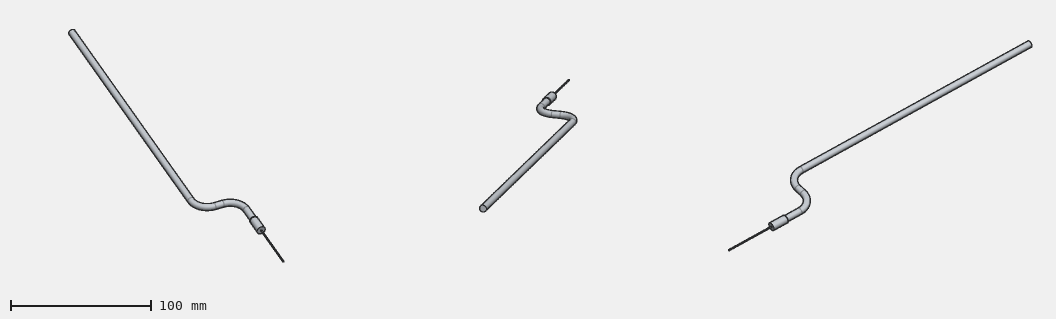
import cadquery as cq

rod_diameter = 5.207
lead_length = 204.62
bend_radius = 12.7
link_length = 6.35
tail_length = 12.7

sleeve_diameter = 6.35
sleeve_length = 12.7

wire_diameter = 1.0
wire_length = 38.1

link_x = lead_length + bend_radius
link_end_y = bend_radius + link_length
tail_y = link_end_y + bend_radius
tail_start_x = link_x + bend_radius
tail_end_x = tail_start_x + tail_length
sleeve_end_x = tail_end_x + sleeve_length


def make_rod():
    """Round rod swept along its S-bent centreline."""
    centreline = (
        cq.Workplane("XY")
        .lineTo(lead_length, 0)
        .radiusArc((link_x, bend_radius), -bend_radius)
        .lineTo(link_x, link_end_y)
        .radiusArc((tail_start_x, tail_y), bend_radius)
        .lineTo(tail_end_x, tail_y)
    )
    return cq.Workplane("YZ").circle(rod_diameter / 2).sweep(centreline)


def make_tail_cylinder(start_x, diameter, length):
    """Cylinder in line with the tail, running from start_x towards +X."""
    return (
        cq.Workplane("YZ", origin=(start_x, tail_y, 0))
        .circle(diameter / 2)
        .extrude(length)
    )


rod = make_rod()
sleeve = make_tail_cylinder(tail_end_x, sleeve_diameter, sleeve_length)
wire = make_tail_cylinder(sleeve_end_x, wire_diameter, wire_length)

result = cq.Compound.makeCompound([rod.val(), sleeve.val(), wire.val()])